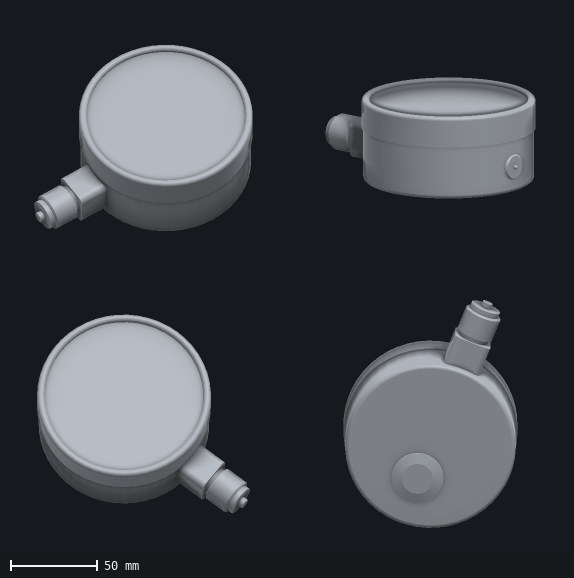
import cadquery as cq

overall_length = 141.2

body_diameter = 99.0
bezel_diameter = 100.8
case_height = 49.0
bezel_bottom = 31.0
floor_fillet = 2.4
glass_diameter = 91.8
rim_radius = (bezel_diameter - glass_diameter) / 4
glass_height = case_height - rim_radius

plug_y = 20.0
plug_diameter = 30.0
plug_flat_diameter = 18.0
plug_rim_height = 1.1
plug_height = 2.5

stem_z = 15.5
square_width = 21.7
square_corner_radius = 4.0
square_start = 35.3
square_end = 66.0
neck_diameter = 18.0
neck_end = 67.9
thread_diameter = 21.3
thread_start = 68.8
thread_end = 82.9
thread_chamfer = 0.8
collar_diameter = 17.5
collar_end = 86.0
tip_diameter = 6.0
stem_end = 89.1

vent_z = 15.1
vent_start = 45.2
vent_diameter = 15.0
vent_end = bezel_diameter / 2
vent_chamfer = 0.8
nipple_diameter = 2.5
nipple_end = overall_length - stem_end
nipple_chamfer = 0.7


def make_case():
    body = cq.Workplane("XY").circle(body_diameter / 2).extrude(glass_height)
    body = body.faces("<Z").edges().fillet(floor_fillet)
    ring = (
        cq.Workplane("XZ")
        .moveTo(glass_diameter / 2, bezel_bottom)
        .lineTo(bezel_diameter / 2, bezel_bottom)
        .lineTo(bezel_diameter / 2, glass_height)
        .threePointArc(
            (bezel_diameter / 2 - rim_radius, case_height),
            (glass_diameter / 2, glass_height),
        )
        .close()
        .revolve(360, (0, 0), (0, 1))
    )
    return body.union(ring)


def make_plug():
    """Low disc tapering to a flat, overlapping the case floor."""
    overlap = 1.4
    profile = [
        (0, overlap),
        (plug_diameter / 2, overlap),
        (plug_diameter / 2, -plug_rim_height),
        (plug_flat_diameter / 2, -plug_height),
        (0, -plug_height),
    ]
    plug = cq.Workplane("XZ").polyline(profile).close().revolve(360, (0, 0), (0, 1))
    return plug.translate((0, plug_y, 0))


def make_stem():
    square = (
        cq.Workplane("XZ", origin=(0, -square_start, stem_z))
        .rect(square_width, square_width)
        .extrude(square_end - square_start)
        .edges("|Y").fillet(square_corner_radius)
    )
    profile = [
        (0, -square_start),
        (neck_diameter / 2, -square_start),
        (neck_diameter / 2, -neck_end),
        (thread_diameter / 2, -thread_start),
        (thread_diameter / 2, -thread_end + thread_chamfer),
        (thread_diameter / 2 - thread_chamfer, -thread_end),
        (collar_diameter / 2, -thread_end),
        (collar_diameter / 2, -collar_end),
        (tip_diameter / 2, -collar_end),
        (tip_diameter / 2, -stem_end),
        (0, -stem_end),
    ]
    fitting = cq.Workplane("XY").polyline(profile).close().revolve(360, (0, 0), (0, 1))
    return square.union(fitting.translate((0, 0, stem_z)))


def make_back_pin(diameter, end, chamfer):
    """Chamfered cylinder reaching out of the back wall of the case."""
    return (
        cq.Workplane("XZ", origin=(0, vent_start, vent_z))
        .circle(diameter / 2)
        .extrude(vent_start - end)
        .faces(">Y").edges().chamfer(chamfer)
    )


vent = make_back_pin(vent_diameter, vent_end, vent_chamfer)
nipple = make_back_pin(nipple_diameter, nipple_end, nipple_chamfer)

result = make_case().union(make_plug()).union(make_stem()).union(vent).union(nipple)